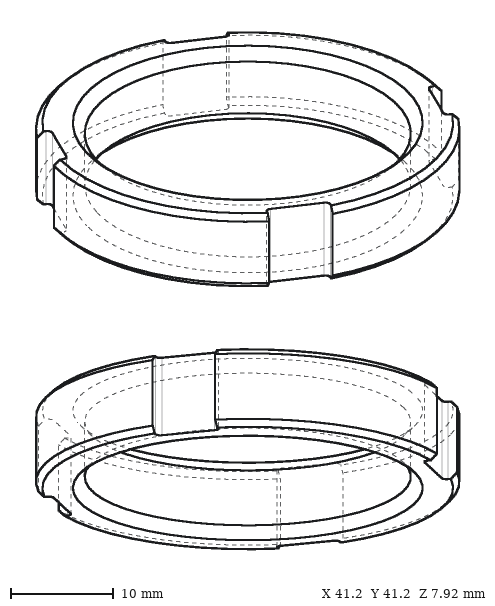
import cadquery as cq

outer_diameter = 41.25
bore_diameter = 31.78
height = 7.92
outer_chamfer = 0.6
bore_chamfer = 1.15

slot_count = 4
first_slot_angle = 45.0
slot_width = 6.4
slot_floor_radius = 19.0
slot_corner_radius = 0.5


def make_ring():
    """Plain ring with both outer edges and both bore edges chamfered."""
    outer_body = (
        cq.Workplane("XY")
        .circle(outer_diameter / 2)
        .extrude(height)
        .edges()
        .chamfer(outer_chamfer)
    )
    return (
        outer_body.cut(cq.Workplane("XY").circle(bore_diameter / 2).extrude(height))
        .edges(cq.selectors.RadiusNthSelector(0))
        .chamfer(bore_chamfer)
    )


def make_slot_cutter(angle):
    """Radial slot with a flat floor and rounded inner corners."""
    slot_length = outer_diameter / 2
    return (
        cq.Workplane("XY")
        .box(slot_length, slot_width, height, centered=(False, True, False))
        .edges("|Z and <X")
        .fillet(slot_corner_radius)
        .translate((slot_floor_radius, 0, 0))
        .rotate((0, 0, 0), (0, 0, 1), angle)
    )


result = make_ring()
for index in range(slot_count):
    slot_angle = first_slot_angle + index * 360.0 / slot_count
    result = result.cut(make_slot_cutter(slot_angle))